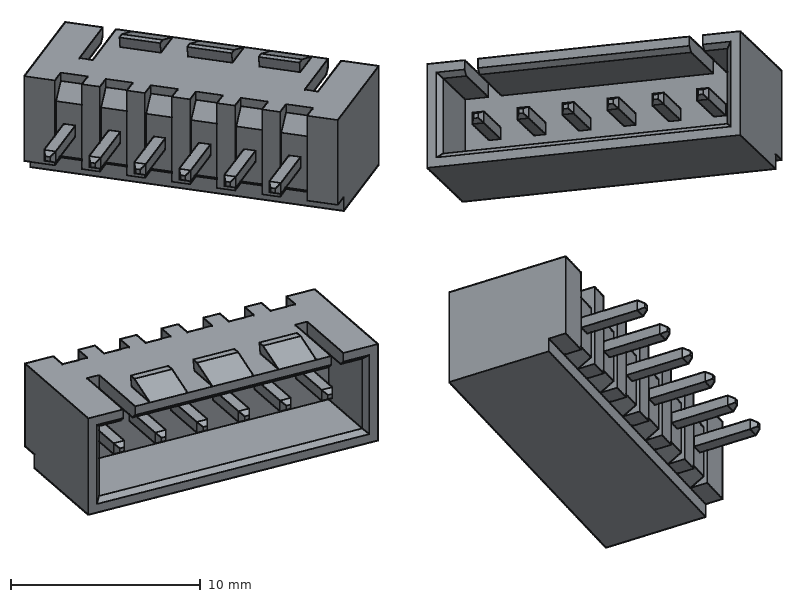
import cadquery as cq


body_length = 17.4
body_depth = 7.0
body_height = 5.78
step_depth = 1.01
step_height = 0.82

wall = 0.8
cavity_depth = 3.98
mouth_chamfer = 0.28

pin_count = 6
outer_pin_offset = 6.25
pin_pitch = 2 * outer_pin_offset / (pin_count - 1)
pin_width = 0.65
pin_tail = 3.5
pin_inset = 0.78
tip_length = 0.35
tip_width = 0.26
pin_z = body_height / 2
pin_xs = [-outer_pin_offset + i * pin_pitch for i in range(pin_count)]

relief_width = 1.5
pad_setback = 0.21
pad_bottom_z = 1.3
pad_top_z = body_height - pad_bottom_z
ledge_drop = 0.49
ledge_z = body_height - ledge_drop

slot_width = 0.73

latch_height = 0.61
latch_ramp_length = 1.72
latch_tip_length = 2.14
latch_root_length = 2.04
outer_latch_offset = 3.86
outer_latch_width = 2.26
middle_latch_width = 2.47


def extrude_profile(points, x_center, width):
    """Extrude a YZ outline along X, centred on x_center."""
    return cq.Workplane("YZ", origin=(x_center, 0, 0)).polyline(points).close().extrude(width / 2, both=True)


def make_body():
    outline = [
        (step_depth, 0),
        (body_depth, 0),
        (body_depth, body_height),
        (0, body_height),
        (0, step_height),
        (step_depth, step_height),
    ]
    return extrude_profile(outline, 0, body_length)


def make_cavity():
    opening = (body_length - 2 * wall, body_height - 2 * wall)
    mouth = cq.Workplane("XZ", origin=(0, body_depth, body_height / 2))
    cavity = mouth.rect(*opening).extrude(cavity_depth)
    flare = (
        mouth.rect(*(side + 2 * mouth_chamfer for side in opening))
        .workplane(offset=mouth_chamfer)
        .rect(*opening)
        .loft(ruled=True)
    )
    return cavity.union(flare)


def make_slot(x):
    floor_end = (x, body_depth - cavity_depth, body_height - wall)
    plane = cq.Workplane("XY", origin=floor_end)
    return plane.box(slot_width, cavity_depth, wall, centered=(True, False, False))


def make_relief(x):
    """Recess open at the top and bottom, leaving a sloped pad behind the pin."""
    outline = [
        (0, step_height),
        (step_depth, step_height),
        (pad_setback, pad_bottom_z),
        (pad_setback, pad_top_z),
        (step_depth, ledge_z),
        (step_depth, body_height),
        (0, body_height),
    ]
    return extrude_profile(outline, x, relief_width)


def make_latch(x, width):
    top_z = body_height + latch_height
    outline = [
        (body_depth, body_height),
        (body_depth - latch_ramp_length, top_z),
        (body_depth - latch_tip_length, top_z),
        (body_depth - latch_root_length, body_height),
    ]
    return extrude_profile(outline, x, width)


def make_pin(x):
    """Square pin with a blunt pyramid at each end."""
    shaft_start = -pin_tail + tip_length
    shaft_end = body_depth - pin_inset - tip_length
    section = cq.Workplane("XZ", origin=(x, 0, pin_z))
    pin = section.workplane(offset=-shaft_end).rect(pin_width, pin_width).extrude(shaft_end - shaft_start)
    for base_y, end_y in ((shaft_start, -pin_tail), (shaft_end, body_depth - pin_inset)):
        tip = (
            section.workplane(offset=-base_y)
            .rect(pin_width, pin_width)
            .workplane(offset=base_y - end_y)
            .rect(tip_width, tip_width)
            .loft(ruled=True)
        )
        pin = pin.union(tip)
    return pin


result = make_body().cut(make_cavity())

for slot_x in (pin_xs[0], pin_xs[-1]):
    result = result.cut(make_slot(slot_x))

for pin_x in pin_xs:
    result = result.cut(make_relief(pin_x))

for latch_x in (-outer_latch_offset, outer_latch_offset):
    result = result.union(make_latch(latch_x, outer_latch_width))
result = result.union(make_latch(0, middle_latch_width))

for pin_x in pin_xs:
    result = result.union(make_pin(pin_x))